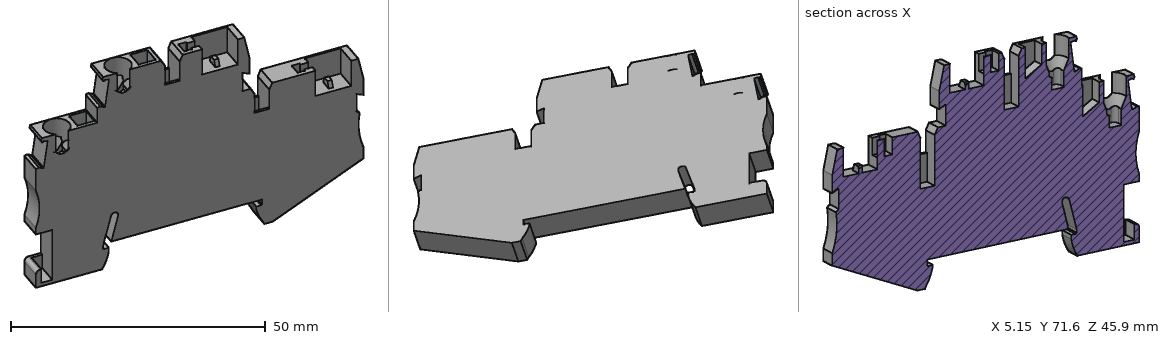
import cadquery as cq
import math

WIDTH = 5.15
LENGTH = 71.6
HEIGHT = 45.9
WALL = 0.4

MARKER_TOP = 33.2
MARKER_RISE = HEIGHT - MARKER_TOP
MARKER_SHIFT = 24.8
HIGH_MARKER_END = 46.7
WIRE_TOP = 35.35
WIRE_SHIFT = 13.4

BRIDGE_WIDTH = 3.2
BRIDGE_DEPTH = 6.0
BRIDGE_LEAD_DROP = 1.4
BRIDGE_FAR_LEAD = 0.65
BRIDGE_NEAR_LEAD = 0.8
LOW_BRIDGE_Y = 47.75
HIGH_BRIDGE_Y = 28.2
BRIDGE_SHAFT_WIDTH = 4.15
BRIDGE_SHAFT_DEPTH = 6.0

MARKER_FAR_Y = 68.85
MARKER_LENGTH = 7.8
MARKER_DEPTH = 6.0
RIB_BASE = 2.6
RIB_CREST = 1.4
RIB_THICKNESS = 0.9
RIB_HEIGHT = 1.4

NECK_WIDTH = 1.8
NECK_LENGTH = 1.7
HEAD_WIDTH = 2.65
HEAD_LENGTH = 1.7
TEE_X = 2.85
TEE_DEPTH = 3.6

SHAFT_SIZE = 3.7
SHAFT_X = 2.5
SHAFT_Y = 24.7
SHAFT_DEPTH = 6.45
SHAFT_FLOOR_ANGLE = 30.0

OPENING_X = (WALL + WIDTH) / 2
WIRE_Y = 19.1
MOUTH_RADIUS = 2.7
MOUTH_DEPTH = 4.3
FUNNEL_DEPTH = 7.15
BORE_WIDTH = 2.8
BORE_FRONT = -1.6
BORE_BACK = 1.2
BORE_CORNER = 1.1
BORE_DEPTH = 10.0
BACK_FACE = 1.85
BACK_FACE_DEPTH = 6.2
RAMP_DROP = 0.4

FOOT_TOP = 4.1
FOOT_NOTCH_Y = 3.6
FOOT_NOTCH_TOP = 12.75
FOOT_LIP = 1.2
FOOT_FLOOR = 0.85
FOOT_WALL = 0.7
RAIL_Z = 6.0
LIP_Z = 4.7
LIP_NECK_Z = 4.95


def box(x, y, z):
    """Box spanning the given (low, high) ranges."""
    size = [high - low for low, high in (x, y, z)]
    return cq.Workplane("XY").box(*size, centered=False).translate((x[0], y[0], z[0]))


def prism(points, x):
    """Y-Z polygon extruded over an X range."""
    return cq.Workplane("YZ", origin=(x[0], 0, 0)).polyline(points).close().extrude(x[1] - x[0])


def centred(middle, size):
    return (middle - size / 2, middle + size / 2)


def bridge_notch(near_y, top):
    """Outline points of a bridge notch, from its +Y rim to its -Y rim."""
    far_y = near_y + BRIDGE_WIDTH
    floor = top - BRIDGE_DEPTH
    return [
        (far_y + BRIDGE_FAR_LEAD, top),
        (far_y, top - BRIDGE_LEAD_DROP),
        (far_y, floor),
        (near_y, floor),
        (near_y, top - BRIDGE_LEAD_DROP),
        (near_y - BRIDGE_NEAR_LEAD, top),
    ]


def hook(wall_y, top):
    """Outline points of a wire block's -Y end: latch nose, neck and ledge."""
    return [
        (wall_y + 1.3, top),
        (wall_y + 1.1, top - 0.6),
        (wall_y + 1.35, top - 1.1),
        (wall_y + 1.8, top - 0.85),
        (wall_y + 2.6, top - 1.1),
        (wall_y + 1.7, top - 7.2),
        (wall_y + 1.4, top - 7.2),
        (wall_y + 0.65, top - 6.8),
        (wall_y, top - 7.0),
    ]


def marker_end(outer_y, top):
    """Outline points of a marker block's +Y end, from its undercut up to its top."""
    return [
        (outer_y - 1.5, top - 8.4),
        (outer_y, top - 9.0),
        (outer_y, top - 5.15),
        (outer_y - 1.15, top),
    ]


def housing():
    low_end = marker_end(LENGTH, MARKER_TOP)
    high_end = marker_end(HIGH_MARKER_END, HEIGHT)
    profile = cq.Workplane("YZ").moveTo(51.7, 0).lineTo(LENGTH, 9.1)
    profile = profile.lineTo(LENGTH, 11.75).threePointArc((70.5, 17.55), (70.7, 20.1))
    profile = profile.lineTo(low_end[0][0], 20.7)
    top_points = (
        low_end
        + bridge_notch(LOW_BRIDGE_Y, MARKER_TOP)
        + [(high_end[0][0], MARKER_TOP)]
        + high_end
        + bridge_notch(HIGH_BRIDGE_Y, HEIGHT)
        + hook(WIRE_SHIFT, HEIGHT)
        + [(WIRE_SHIFT, WIRE_TOP)]
        + hook(0, WIRE_TOP)
    )
    for point in top_points:
        profile = profile.lineTo(*point)
    profile = profile.lineTo(0, 23.2).threePointArc((0.8, 18.75), (0, 14.3))
    profile = profile.lineTo(0, FOOT_NOTCH_TOP)
    profile = profile.lineTo(FOOT_NOTCH_Y, FOOT_NOTCH_TOP)
    profile = profile.lineTo(FOOT_NOTCH_Y, FOOT_TOP).lineTo(0.85, FOOT_TOP)
    profile = profile.threePointArc((0.3, 3.8), (0, 3.15)).lineTo(0, 0)
    profile = profile.lineTo(14.45, 0).threePointArc((15.45, 2.0), (15.95, 3.9)).lineTo(15.95, LIP_Z)
    profile = profile.lineTo(14.95, LIP_Z).lineTo(14.7, LIP_NECK_Z).lineTo(14.7, 5.6)
    profile = profile.lineTo(16.4, 12.1).threePointArc((17.25, 12.75), (18.0, 11.8))
    profile = profile.lineTo(16.45, RAIL_Z).lineTo(49.4, RAIL_Z).lineTo(49.4, LIP_NECK_Z)
    profile = profile.lineTo(49.2, LIP_Z).lineTo(48.1, LIP_Z).lineTo(48.1, 4.15)
    profile = profile.threePointArc((48.7, 2.35), (49.6, 0.65)).lineTo(49.9, 0).close()
    return profile.extrude(WIDTH)


def bridge_shaft(near_y, top):
    floor = top - BRIDGE_DEPTH
    return box(
        (WALL, WALL + BRIDGE_SHAFT_WIDTH),
        (near_y, near_y + BRIDGE_WIDTH),
        (floor - BRIDGE_SHAFT_DEPTH, floor),
    )


def foot_pocket():
    """Pocket behind the lip of the -Y foot, open on the +X side."""
    return box((FOOT_WALL, WIDTH), (FOOT_LIP, FOOT_NOTCH_Y), (FOOT_FLOOR, FOOT_TOP))


def marker_pocket(far_y, top):
    """Marker pocket with its raised rib left standing, plus the T-shaped recess."""
    near_y = far_y - MARKER_LENGTH
    floor = top - MARKER_DEPTH
    pocket = box((WALL, WIDTH), (near_y, far_y), (floor, top))
    rib_far_y = (near_y + far_y + RIB_THICKNESS) / 2
    rib = (
        cq.Workplane("XZ", origin=(OPENING_X, rib_far_y, floor))
        .polyline([
            (-RIB_BASE / 2, 0),
            (RIB_BASE / 2, 0),
            (RIB_CREST / 2, RIB_HEIGHT),
            (-RIB_CREST / 2, RIB_HEIGHT),
        ])
        .close()
        .extrude(RIB_THICKNESS)
    )
    shoulder_y = near_y - NECK_LENGTH
    tee_z = (top - TEE_DEPTH, top)
    neck = box(centred(TEE_X, NECK_WIDTH), (shoulder_y, near_y), tee_z)
    head = box(centred(TEE_X, HEAD_WIDTH), (shoulder_y - HEAD_LENGTH, shoulder_y), tee_z)
    return pocket.cut(rib).union(neck).union(head)


def driver_shaft(middle_y, top):
    """Square shaft whose floor falls towards +Y."""
    near_y, far_y = centred(middle_y, SHAFT_SIZE)
    floor_drop = SHAFT_SIZE * math.tan(math.radians(SHAFT_FLOOR_ANGLE))
    side = [
        (near_y, top),
        (far_y, top),
        (far_y, top - SHAFT_DEPTH),
        (near_y, top - SHAFT_DEPTH + floor_drop),
    ]
    return prism(side, centred(SHAFT_X, SHAFT_SIZE))


def wire_entry(axis_y, top):
    """Round mouth, funnel flattened at its +Y side, and a D-like bore."""
    mouth_floor = top - MOUTH_DEPTH
    back_y = axis_y + BACK_FACE
    back_floor = top - BACK_FACE_DEPTH
    bore_x = centred(OPENING_X, BORE_WIDTH)
    axis = cq.Workplane("XY", origin=(OPENING_X, axis_y, top))
    mouth = axis.circle(MOUTH_RADIUS).extrude(-MOUTH_DEPTH)
    funnel = cq.Workplane(cq.Solid.makeCone(
        MOUTH_RADIUS,
        BORE_WIDTH / 2,
        FUNNEL_DEPTH - MOUTH_DEPTH,
        cq.Vector(OPENING_X, axis_y, mouth_floor),
        cq.Vector(0, 0, -1),
    ))
    front_half = box((0, WIDTH), (axis_y - MOUTH_RADIUS, back_y), (top - FUNNEL_DEPTH, top))
    funnel = funnel.intersect(front_half)

    back_wedge = prism(
        [(back_y, top), (axis_y + MOUTH_RADIUS, mouth_floor), (back_y, back_floor)],
        (0, WIDTH),
    )
    back_wedge = back_wedge.intersect(axis.circle(MOUTH_RADIUS).extrude(-BORE_DEPTH))

    bore_y = (axis_y + BORE_FRONT, axis_y + BORE_BACK)
    bore = box(bore_x, bore_y, (top - BORE_DEPTH, top)).edges("|Z and <Y").fillet(BORE_CORNER)
    ramp = prism(
        [
            (bore_y[1], top),
            (back_y, top),
            (back_y, top - FUNNEL_DEPTH),
            (bore_y[1], top - FUNNEL_DEPTH - RAMP_DROP),
        ],
        bore_x,
    )
    ramp = ramp.intersect(axis.circle(MOUTH_RADIUS).extrude(-BORE_DEPTH))
    return mouth.union(funnel).union(back_wedge).union(bore).union(ramp)


result = housing().cut(foot_pocket())

for near_y, top in ((LOW_BRIDGE_Y, MARKER_TOP), (HIGH_BRIDGE_Y, HEIGHT)):
    result = result.cut(bridge_shaft(near_y, top))

for level in range(2):
    marker_top = MARKER_TOP + level * MARKER_RISE
    result = result.cut(marker_pocket(MARKER_FAR_Y - level * MARKER_SHIFT, marker_top))

    wire_top = HEIGHT - level * (HEIGHT - WIRE_TOP)
    result = result.cut(driver_shaft(SHAFT_Y - level * WIRE_SHIFT, wire_top))
    result = result.cut(wire_entry(WIRE_Y - level * WIRE_SHIFT, wire_top))